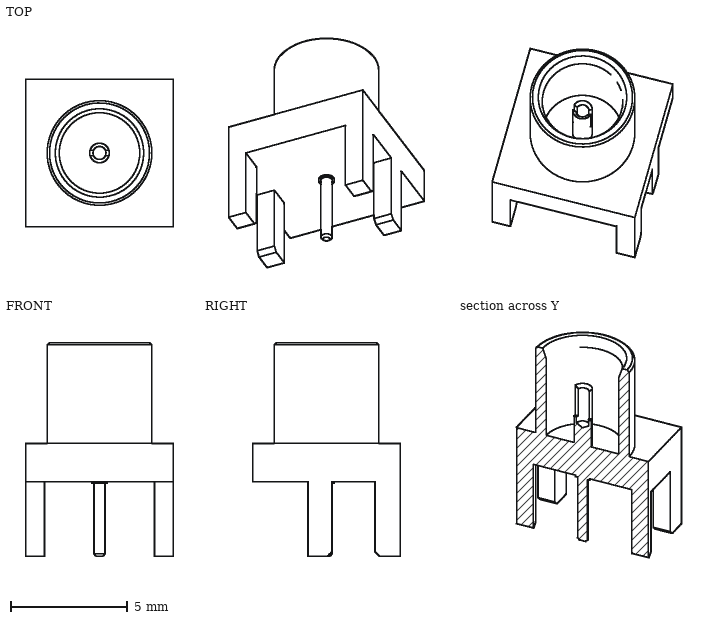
import cadquery as cq
import math

BASE_SIDE = 6.35
BASE_THICKNESS = 1.65
HALF_SIDE = BASE_SIDE / 2

SLEEVE_RADIUS = 2.25
SLEEVE_HEIGHT = 4.33
RIM_CHAMFER = 0.1
BORE_RADIUS = 1.73
BORE_MOUTH_RADIUS = 1.9
BORE_MOUTH_DEPTH = 0.5
SLEEVE_TOP = BASE_THICKNESS + SLEEVE_HEIGHT
BORE_FLOOR = BASE_THICKNESS

CONTACT_RADIUS = 0.42
CONTACT_RECESS = 1.52
CONTACT_TOP = SLEEVE_TOP - CONTACT_RECESS
SOCKET_RADIUS = 0.28
SOCKET_DEPTH = 1.8
DRILL_POINT_ANGLE = 118
SOCKET_TIP_DEPTH = SOCKET_RADIUS / math.tan(math.radians(DRILL_POINT_ANGLE / 2))
COUNTERSINK_DEPTH = CONTACT_RADIUS - SOCKET_RADIUS
SLOT_WIDTH = 0.22
SLOT_DEPTH = 1.5

LEG_LENGTH = 3.2
LEG_THICKNESS = 0.82
LEG_CHAMFER = 0.2
REAR_LEG_WIDTH = 1.1
FRONT_LEG_WIDTH = 1.04
FRONT_LEG_Y_MAX = 0.24

PIN_RADIUS = 0.245
PIN_CHAMFER = 0.1
COLLAR_RADIUS = 0.34
COLLAR_THICKNESS = 0.06


def revolve_profile(points):
    """Revolve a closed (radius, z) outline about the Z axis."""
    return cq.Workplane("XZ").polyline(points).close().revolve(360, (0, 0), (0, 1))


def make_base():
    return cq.Workplane("XY").box(BASE_SIDE, BASE_SIDE, BASE_THICKNESS, centered=(True, True, False))


def make_sleeve():
    return revolve_profile([
        (BORE_RADIUS, BASE_THICKNESS),
        (SLEEVE_RADIUS, BASE_THICKNESS),
        (SLEEVE_RADIUS, SLEEVE_TOP - RIM_CHAMFER),
        (SLEEVE_RADIUS - RIM_CHAMFER, SLEEVE_TOP),
        (BORE_MOUTH_RADIUS, SLEEVE_TOP),
        (BORE_RADIUS, SLEEVE_TOP - BORE_MOUTH_DEPTH),
    ])


def make_contact():
    socket_bottom = CONTACT_TOP - SOCKET_DEPTH
    contact = revolve_profile([
        (0, BORE_FLOOR),
        (CONTACT_RADIUS, BORE_FLOOR),
        (CONTACT_RADIUS, CONTACT_TOP),
        (SOCKET_RADIUS, CONTACT_TOP - COUNTERSINK_DEPTH),
        (SOCKET_RADIUS, socket_bottom),
        (0, socket_bottom - SOCKET_TIP_DEPTH),
    ])
    slot = (
        cq.Workplane("XY")
        .workplane(offset=CONTACT_TOP - SLOT_DEPTH)
        .rect(2 * BORE_RADIUS, SLOT_WIDTH)
        .extrude(SLOT_DEPTH)
    )
    return contact.cut(slot)


def make_leg(x_center, y_min, y_max, chamfered_side):
    """Leg with a chamfer along the lower edge on its chamfered side, "<Y" or ">Y"."""
    return (
        cq.Workplane("XY")
        .center(x_center, (y_min + y_max) / 2)
        .rect(LEG_THICKNESS, y_max - y_min)
        .extrude(-LEG_LENGTH)
        .faces(chamfered_side)
        .edges("<Z")
        .chamfer(LEG_CHAMFER)
    )


def make_pin():
    pin = cq.Workplane("XY").circle(PIN_RADIUS).extrude(-LEG_LENGTH).faces("<Z").chamfer(PIN_CHAMFER)
    collar = cq.Workplane("XY").circle(COLLAR_RADIUS).extrude(-COLLAR_THICKNESS)
    return pin.union(collar)


result = make_base().union(make_sleeve()).union(make_contact()).union(make_pin())
for side in (-1, 1):
    leg_x = side * (HALF_SIDE - LEG_THICKNESS / 2)
    front_leg = make_leg(leg_x, FRONT_LEG_Y_MAX - FRONT_LEG_WIDTH, FRONT_LEG_Y_MAX, ">Y")
    rear_leg = make_leg(leg_x, HALF_SIDE - REAR_LEG_WIDTH, HALF_SIDE, "<Y")
    result = result.union(front_leg).union(rear_leg)